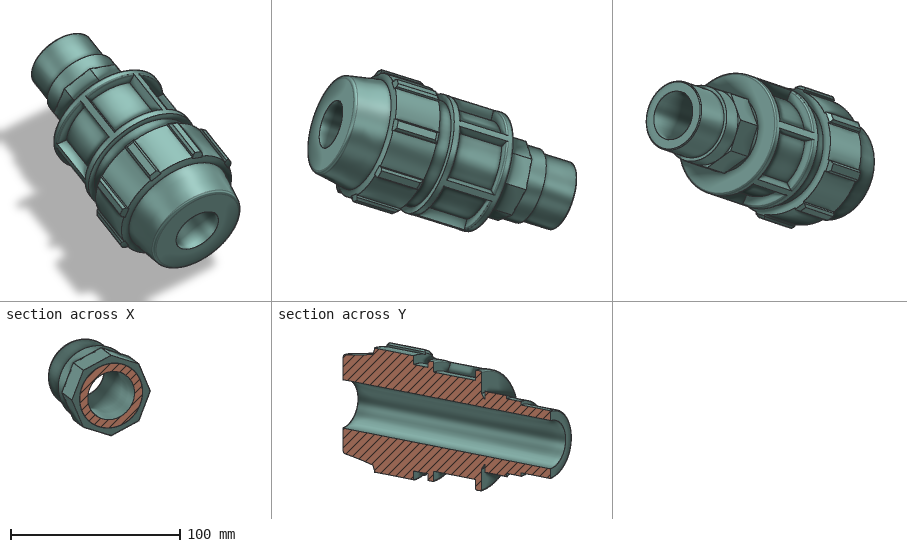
import cadquery as cq
import math

LENGTH = 154.0
BORE_RADIUS = 29.4 / 2

SPIGOT_RADIUS = 41.9 / 2
SPIGOT_END = 21.9
SPIGOT_CHAMFER = 0.6
COLLAR_RADIUS = 46.0 / 2

OCTAGON_START = 32.5
OCTAGON_END = 48.8
OCTAGON_SIDES = 8
OCTAGON_DIAMETER = 2 * COLLAR_RADIUS / math.cos(math.pi / OCTAGON_SIDES)

NECK_RADIUS = 40.0 / 2
NECK_FLARE_RADIUS = 23.3

BODY_START = 51.1
BODY_END = 91.0
FLANGE_RADIUS = 73.8 / 2
EDGE_ROUND = 1.0
RECESS_START = 55.7
RECESS_END = 86.5
RECESS_FLOOR_RADIUS = 30.5
RIB_COUNT = 6
RIB_WIDTH = 4.3
BARREL_RADIUS = 65.6 / 2

NUT_START = 101.3
NUT_SHOULDER = 130.5
NUT_RADIUS = 38.2
NOSE_START = 132.0
NOSE_BASE_RADIUS = 34.0
NOSE_TIP_RADIUS = 30.2
NOSE_ROUND = 1.8

LUG_COUNT = 8
LUG_TOP_RADIUS = 40.8
LUG_FACE_RADIUS = 39.0
LUG_TOP_START = 103.6
LUG_TOP_HALF_WIDTH = 2.3
LUG_BASE_HALF_WIDTH = 3.5
LUG_FLANK_RADIUS = 39.3
LUG_ROOT_RADIUS = 37.3

AXIS_START = (0, 0, 0)
AXIS_END = (1, 0, 0)


def revolve_about_x(profile):
    """Turn a closed profile, drawn as (x, radius), about the X axis."""
    return profile.close().revolve(360, AXIS_START, AXIS_END)


def disc(start, end, radius):
    """A cylinder along X."""
    return cq.Workplane("YZ").workplane(offset=start).circle(radius).extrude(end - start)


def repeat_about_x(shape, count, first_angle):
    """Equally spaced copies of a shape around the X axis, joined together."""
    copies = cq.Workplane("XY")
    for index in range(count):
        angle = first_angle + index * 360 / count
        copies = copies.add(shape.rotate(AXIS_START, AXIS_END, angle).val())
    return copies.combine()


def make_fitting_end():
    """Spigot, collar, octagon and neck."""
    spigot = disc(0, SPIGOT_END, SPIGOT_RADIUS).faces("<X").chamfer(SPIGOT_CHAMFER)
    collar = disc(SPIGOT_END, OCTAGON_START, COLLAR_RADIUS)
    octagon = (
        cq.Workplane("YZ")
        .workplane(offset=OCTAGON_START)
        .polygon(OCTAGON_SIDES, OCTAGON_DIAMETER)
        .extrude(OCTAGON_END - OCTAGON_START)
    )
    neck = revolve_about_x(
        cq.Workplane("XY")
        .moveTo(OCTAGON_END, 0)
        .lineTo(OCTAGON_END, NECK_RADIUS)
        .lineTo(BODY_START, NECK_FLARE_RADIUS)
        .lineTo(BODY_START, 0)
    )
    return spigot.union(collar).union(octagon).union(neck)


def make_body():
    """Flanged body: a ring recess with rounded rims, bridged by lengthwise ribs."""
    blank = disc(BODY_START, BODY_END, FLANGE_RADIUS)
    flanges = blank.faces("<X").edges().fillet(EDGE_ROUND)
    rim_bottom = FLANGE_RADIUS - EDGE_ROUND
    rim_start = RECESS_START - EDGE_ROUND
    rim_end = RECESS_END + EDGE_ROUND
    arc_offset = EDGE_ROUND * (1 - math.sqrt(0.5))
    recess = revolve_about_x(
        cq.Workplane("XY")
        .moveTo(RECESS_START, RECESS_FLOOR_RADIUS)
        .lineTo(RECESS_START, rim_bottom)
        .threePointArc((RECESS_START - arc_offset, FLANGE_RADIUS - arc_offset), (rim_start, FLANGE_RADIUS))
        .lineTo(rim_end, FLANGE_RADIUS)
        .threePointArc((RECESS_END + arc_offset, FLANGE_RADIUS - arc_offset), (RECESS_END, rim_bottom))
        .lineTo(RECESS_END, RECESS_FLOOR_RADIUS)
    )
    rib = (
        cq.Workplane("XY")
        .box(rim_end - rim_start, FLANGE_RADIUS, RIB_WIDTH, centered=(False, False, True))
        .translate((rim_start, 0, 0))
    )
    ribs = repeat_about_x(rib, RIB_COUNT, 0).intersect(disc(rim_start, rim_end, FLANGE_RADIUS))
    barrel = disc(BODY_END, NUT_START, BARREL_RADIUS)
    return flanges.cut(recess).union(ribs).union(barrel)


def make_nut():
    """Nut with a steep shoulder and a tapering nose rounded at its tip."""
    nut = revolve_about_x(
        cq.Workplane("XY")
        .moveTo(NUT_START, 0)
        .lineTo(NUT_START, NUT_RADIUS)
        .lineTo(NUT_SHOULDER, NUT_RADIUS)
        .lineTo(NOSE_START, NOSE_BASE_RADIUS)
        .lineTo(LENGTH, NOSE_TIP_RADIUS)
        .lineTo(LENGTH, 0)
    )
    return nut.faces(">X").edges().fillet(NOSE_ROUND)


def make_lugs():
    """Grip lugs with bevelled flanks, sloped at one end and following the nut shoulder at the other."""
    section = [
        (LUG_ROOT_RADIUS, -LUG_BASE_HALF_WIDTH),
        (LUG_FLANK_RADIUS, -LUG_BASE_HALF_WIDTH),
        (LUG_TOP_RADIUS, -LUG_TOP_HALF_WIDTH),
        (LUG_TOP_RADIUS, LUG_TOP_HALF_WIDTH),
        (LUG_FLANK_RADIUS, LUG_BASE_HALF_WIDTH),
        (LUG_ROOT_RADIUS, LUG_BASE_HALF_WIDTH),
    ]
    bar = (
        cq.Workplane("YZ")
        .workplane(offset=NUT_START)
        .polyline(section)
        .close()
        .extrude(NOSE_START - NUT_START)
    )
    shoulder_slope = (NOSE_START - NUT_SHOULDER) / (NUT_RADIUS - NOSE_BASE_RADIUS)
    top_end = NUT_SHOULDER - shoulder_slope * (LUG_TOP_RADIUS - NUT_RADIUS)
    root_end = NUT_SHOULDER + shoulder_slope * (NUT_RADIUS - LUG_ROOT_RADIUS)
    side_outline = (
        cq.Workplane("XY")
        .polyline([
            (NUT_START, LUG_ROOT_RADIUS),
            (NUT_START, LUG_FACE_RADIUS),
            (LUG_TOP_START, LUG_TOP_RADIUS),
            (top_end, LUG_TOP_RADIUS),
            (root_end, LUG_ROOT_RADIUS),
        ])
        .close()
        .extrude(LUG_BASE_HALF_WIDTH, both=True)
    )
    return repeat_about_x(bar.intersect(side_outline), LUG_COUNT, 180 / LUG_COUNT)


bore = disc(0, LENGTH, BORE_RADIUS)
result = make_fitting_end().union(make_body()).union(make_nut()).union(make_lugs()).cut(bore)